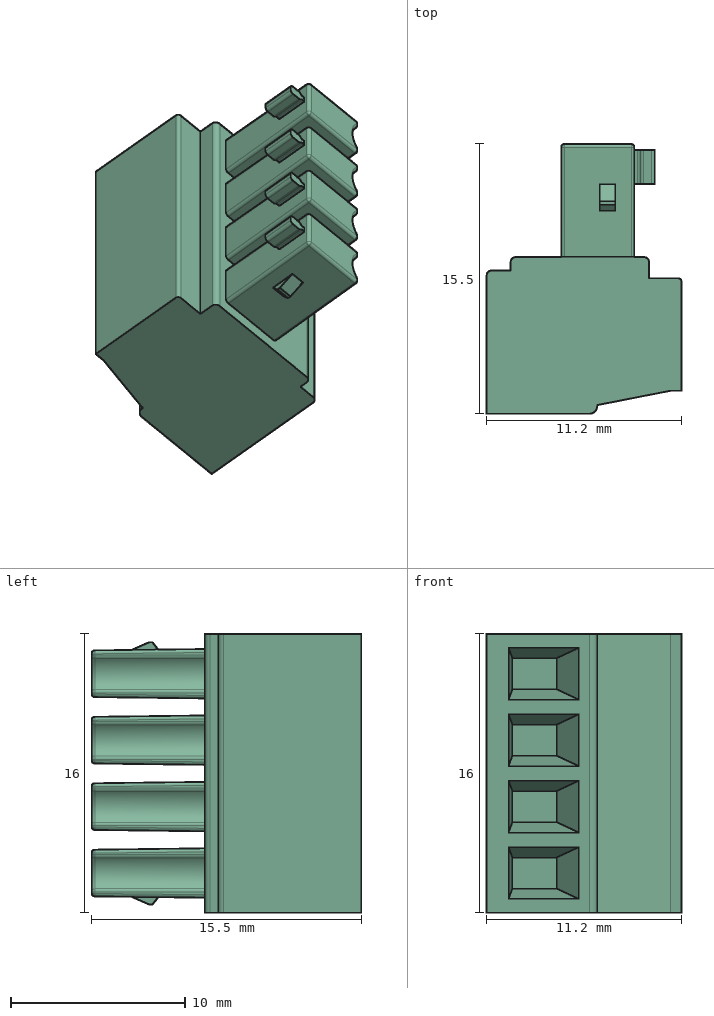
import cadquery as cq
import math


pole_count = 4
pole_pitch = 3.82
row_length = 16.03
pole_heights = [pole_pitch * (i - (pole_count - 1) / 2) for i in range(pole_count)]

housing_width = 11.2
housing_depth = 9.01
left_shoulder_width = 1.38
left_shoulder_drop = 0.77
right_shoulder_width = 1.86
right_shoulder_drop = 1.22
shoulder_radius = 0.3
right_shoulder_radius = 0.2
entry_face_width = 5.92
entry_face_radius = 0.45
slope_start_y = 0.5
slope_end_x = 10.55
slope_end_y = 1.31

funnel_depth = 2.02
mouth_left = 1.27
mouth_width = 4.04
mouth_height = 2.98
floor_left = 1.49
floor_width = 2.53
floor_height = 1.78

prong_left = 4.28
prong_width = 4.22
prong_tip_y = 15.5
prong_base_half_height = 1.43
prong_tip_half_height = 1.35
prong_edge_radius = 0.2
prong_right = prong_left + prong_width

groove_radius = 1.36
groove_depth = 0.4
groove_lip_radius = 0.3

tab_start_y = 13.2
tab_end_y = 15.16
tab_reach = 1.17
tab_neck_length = 0.18
tab_swell_length = 0.32
tab_neck_half_height = 0.16
tab_head_half_height = 0.32
tab_end_radius = 0.2

catch_left = 6.5
catch_width = 0.9
catch_peak_z = 7.53
catch_front_y = 11.67
catch_ridge_start_y = 12.0
catch_ridge_end_y = 12.2
catch_back_y = 13.2


def make_housing():
    """Stepped outline extruded along the row, with rounded shoulders and a sloped entry side."""
    left_shoulder_y = housing_depth - left_shoulder_drop
    right_shoulder_y = housing_depth - right_shoulder_drop
    right_step_x = housing_width - right_shoulder_width
    arc_mid = entry_face_radius * math.sqrt(0.5)
    body = (
        cq.Workplane("XY", origin=(0, 0, -row_length / 2))
        .lineTo(entry_face_width, 0)
        .threePointArc(
            (entry_face_width + arc_mid, entry_face_radius - arc_mid),
            (entry_face_width + entry_face_radius, entry_face_radius),
        )
        .lineTo(entry_face_width + entry_face_radius, slope_start_y)
        .lineTo(slope_end_x, slope_end_y)
        .lineTo(housing_width, slope_end_y)
        .lineTo(housing_width, right_shoulder_y)
        .lineTo(right_step_x, right_shoulder_y)
        .lineTo(right_step_x, housing_depth)
        .lineTo(left_shoulder_width, housing_depth)
        .lineTo(left_shoulder_width, left_shoulder_y)
        .lineTo(0, left_shoulder_y)
        .close()
        .extrude(row_length)
    )
    for x, y, radius in [
        (0, left_shoulder_y, shoulder_radius),
        (left_shoulder_width, housing_depth, shoulder_radius),
        (right_step_x, housing_depth, shoulder_radius),
        (housing_width, right_shoulder_y, right_shoulder_radius),
    ]:
        body = body.edges(cq.NearestToPointSelector((x, y, 0))).fillet(radius)
    return body


def make_funnel(z):
    """Tapered wire-entry pocket centred at height z."""
    mouth_centre = mouth_left + mouth_width / 2
    floor_centre = floor_left + floor_width / 2
    return (
        cq.Workplane("XZ")
        .center(mouth_centre, z)
        .rect(mouth_width, mouth_height)
        .workplane(offset=-funnel_depth)
        .center(floor_centre - mouth_centre, 0)
        .rect(floor_width, floor_height)
        .loft(ruled=True)
    )


def prong_half_height(y):
    """Half the prong's height at distance y, thinning evenly from base to tip."""
    fraction = (y - housing_depth) / (prong_tip_y - housing_depth)
    return prong_base_half_height + fraction * (prong_tip_half_height - prong_base_half_height)


def make_prong(z):
    """Prong centred at height z, slightly thinner at its tip, grooved on its -X side."""
    prong = (
        cq.Workplane("YZ", origin=(prong_left, 0, z))
        .moveTo(housing_depth, -prong_base_half_height)
        .lineTo(prong_tip_y, -prong_tip_half_height)
        .lineTo(prong_tip_y, prong_tip_half_height)
        .lineTo(housing_depth, prong_base_half_height)
        .close()
        .extrude(prong_width)
    )
    long_edges = prong.edges("not |X").edges("not |Z")
    prong = long_edges.fillet(prong_edge_radius)
    groove = (
        cq.Workplane("XZ", origin=(prong_left + groove_depth - groove_radius, prong_tip_y, z))
        .circle(groove_radius)
        .extrude(prong_tip_y - housing_depth)
    )
    prong = prong.cut(groove)
    lip_half_height = math.sqrt(groove_radius**2 - (groove_radius - groove_depth) ** 2)
    middle_y = (housing_depth + prong_tip_y) / 2
    for side in (-1, 1):
        lip_point = (prong_left, middle_y, z + side * lip_half_height)
        prong = prong.edges(cq.NearestToPointSelector(lip_point)).fillet(groove_lip_radius)
    return prong.faces(">Y").edges().fillet(prong_edge_radius)


def make_coding_tab(z):
    """Tab on the prong's +X side whose neck swells to the head through smooth S-curves."""
    neck_end = prong_right + tab_neck_length
    swell_middle = neck_end + tab_swell_length / 2
    swell_end = neck_end + tab_swell_length
    tab_end = prong_right + tab_reach
    middle_half_height = (tab_neck_half_height + tab_head_half_height) / 2
    tab = (
        cq.Workplane("XZ", origin=(0, tab_end_y, z))
        .moveTo(prong_right, tab_neck_half_height)
        .lineTo(neck_end, tab_neck_half_height)
        .tangentArcPoint((swell_middle, middle_half_height), relative=False)
        .tangentArcPoint((swell_end, tab_head_half_height), relative=False)
        .lineTo(tab_end, tab_head_half_height)
        .lineTo(tab_end, -tab_head_half_height)
        .lineTo(swell_end, -tab_head_half_height)
        .tangentArcPoint((swell_middle, -middle_half_height), relative=False)
        .tangentArcPoint((neck_end, -tab_neck_half_height), relative=False)
        .lineTo(prong_right, -tab_neck_half_height)
        .close()
        .extrude(tab_end_y - tab_start_y)
    )
    return tab.faces(">X").edges("|Y").fillet(tab_end_radius)


def make_catch():
    """Wedge-shaped snap catch on the outer face of the top prong."""
    root_z = pole_heights[-1]
    catch_front_z = root_z + prong_half_height(catch_front_y)
    catch_back_z = root_z + prong_half_height(catch_back_y)
    return (
        cq.Workplane("YZ", origin=(catch_left, 0, 0))
        .moveTo(catch_front_y, root_z)
        .lineTo(catch_front_y, catch_front_z)
        .lineTo(catch_ridge_start_y, catch_peak_z)
        .lineTo(catch_ridge_end_y, catch_peak_z)
        .lineTo(catch_back_y, catch_back_z)
        .lineTo(catch_back_y, root_z)
        .close()
        .extrude(catch_width)
    )


result = make_housing()
for pole_z in pole_heights:
    result = result.cut(make_funnel(pole_z))
    result = result.union(make_prong(pole_z))
    result = result.union(make_coding_tab(pole_z))
top_catch = make_catch()
result = result.union(top_catch)
result = result.union(top_catch.mirror("XY"))